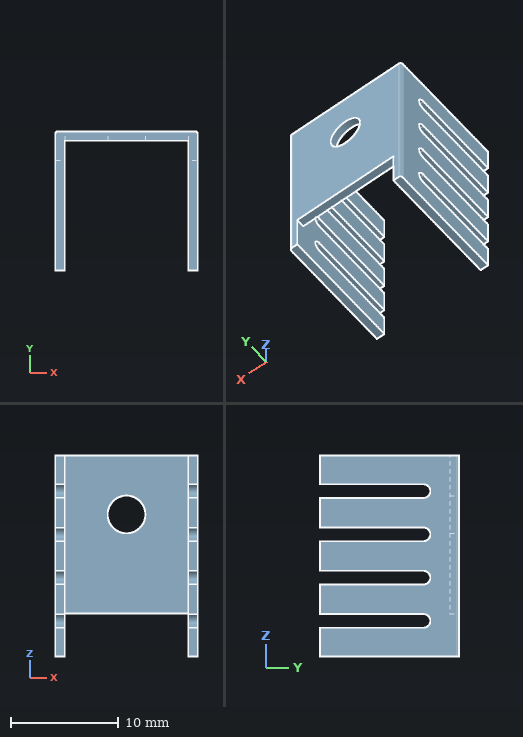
import cadquery as cq

width = 13.3
depth = 13.0
height = 18.75
sheet = 0.9
bend_radius = 0.25

hole_diameter = 3.5
hole_below_top = 5.5
back_height = 14.75

slot_count = 4
slot_width = 1.25
slot_length = 10.3
slot_pitch = 4.035

inner_width = width - 2 * sheet
front_y = -depth / 2


def channel():
    """U-shaped channel, open toward -Y, with rounded outer back edges."""
    outer = cq.Workplane("XY").box(width, depth, height, centered=(True, True, False))
    outer = outer.edges("|Z and >Y").fillet(bend_radius)
    cavity = (
        cq.Workplane("XY")
        .center(0, front_y)
        .rect(inner_width, 2 * (depth - sheet))
        .extrude(height)
    )
    return outer.cut(cavity)


def back_notch():
    """Opening between the side walls, below the back plate."""
    notch_height = height - back_height
    return cq.Workplane("XY").box(inner_width, 2 * depth, notch_height, centered=(True, True, False))


def mounting_hole():
    """Round hole through the back plate."""
    return (
        cq.Workplane("XZ")
        .center(0, height - hole_below_top)
        .circle(hole_diameter / 2)
        .extrude(-depth)
    )


def finger_slot(center_z):
    """Slot through both side walls, open at the front, with a round inner end."""
    radius = slot_width / 2
    end_y = front_y + slot_length
    arc_start_y = end_y - radius
    return (
        cq.Workplane("YZ")
        .moveTo(front_y, center_z - radius)
        .lineTo(arc_start_y, center_z - radius)
        .threePointArc((end_y, center_z), (arc_start_y, center_z + radius))
        .lineTo(front_y, center_z + radius)
        .close()
        .extrude(width / 2, both=True)
    )


result = channel().cut(back_notch()).cut(mounting_hole())

lowest_slot_z = height / 2 - slot_pitch * (slot_count - 1) / 2
for index in range(slot_count):
    result = result.cut(finger_slot(lowest_slot_z + index * slot_pitch))